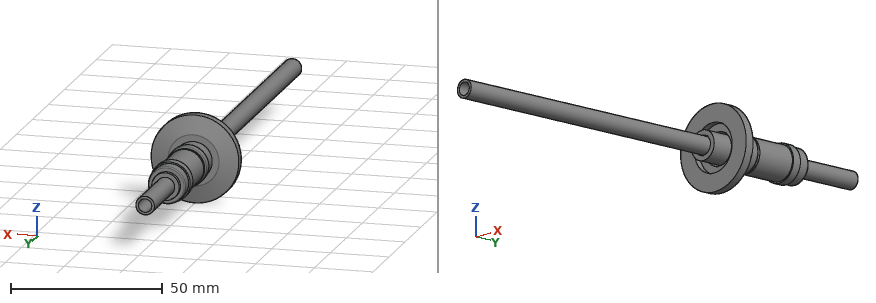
import cadquery as cq
import math

total_length = 184.15
tube_diameter = 6.35
tube_bore_diameter = 4.57

collar_start = 25.4
collar_diameter = 9.4

body_start = 26.95
body_diameter = 12.7
cup_edge_radius = 0.4

band_diameter = 13.7
rear_band_start = 31.3
rear_band_end = 34.6
front_band_start = 51.2
front_band_end = 54.6
band_rim_radius = 0.4
band_root_radius = 0.4

sleeve_start = 50.1
sleeve_diameter = 12.76

flange_diameter = 29.97
flange_face = 65.6
flange_rim_thickness = 3.3
flange_back_angle = 15.0
flange_back_diameter = 17.4

recess_diameter = 17.2
recess_depth = 2.5
sleeve_bore_diameter = 11.7
sleeve_bore_end = 50.0

stub_diameter = 10.4
stub_end = 70.6
stub_root_radius = 0.55
stub_counterbore_diameter = 6.9
stub_counterbore_depth = 1.0


def axial_y(station):
    """Y coordinate of a station."""
    return total_length / 2 - station


def cylinder(diameter, start, end):
    """Solid cylinder on the Y axis between two stations."""
    plane = cq.Workplane("XZ", origin=(0, axial_y(start), 0))
    return plane.circle(diameter / 2).extrude(end - start)


def revolve_about_axis(half_section):
    """Full turn of a closed XY section about the Y axis."""
    return half_section.revolve(360, (0, 0, 0), (0, 1, 0))


def make_front_band():
    """Band with a rounded rear rim and a concave fillet at the root of its front step."""
    sleeve_radius = sleeve_diameter / 2
    band_radius = band_diameter / 2
    round_end = front_band_start + band_rim_radius
    root_end = front_band_end + band_root_radius
    half_section = (
        cq.Workplane("XY")
        .moveTo(0, axial_y(root_end))
        .lineTo(0, axial_y(front_band_start))
        .lineTo(band_radius - band_rim_radius, axial_y(front_band_start))
        .radiusArc((band_radius, axial_y(round_end)), band_rim_radius)
        .lineTo(band_radius, axial_y(front_band_end))
        .lineTo(sleeve_radius + band_root_radius, axial_y(front_band_end))
        .radiusArc((sleeve_radius, axial_y(root_end)), -band_root_radius)
        .close()
    )
    return revolve_about_axis(half_section)


def make_flange():
    """Flange disc: straight rim, conical back and a flat step down to the sleeve."""
    rim_radius = flange_diameter / 2
    back_radius = flange_back_diameter / 2
    cone_length = (rim_radius - back_radius) * math.tan(math.radians(flange_back_angle))
    face_y = axial_y(flange_face)
    rim_back_y = face_y + flange_rim_thickness
    back_y = rim_back_y + cone_length
    half_section = (
        cq.Workplane("XY")
        .moveTo(0, face_y)
        .lineTo(rim_radius, face_y)
        .lineTo(rim_radius, rim_back_y)
        .lineTo(back_radius, back_y)
        .lineTo(0, back_y)
        .close()
    )
    return revolve_about_axis(half_section)


def make_housing():
    """Insulator body, joint bands and flange, hollowed from the flange face."""
    body = cylinder(body_diameter, body_start, flange_face)
    housing = body.faces(">Y").edges().fillet(cup_edge_radius)
    housing = housing.union(cylinder(sleeve_diameter, sleeve_start, flange_face))
    housing = housing.union(cylinder(band_diameter, rear_band_start, rear_band_end))
    housing = housing.union(make_front_band()).union(make_flange())
    housing = housing.cut(cylinder(recess_diameter, flange_face - recess_depth, flange_face))
    return housing.cut(cylinder(sleeve_bore_diameter, sleeve_bore_end, flange_face))


def make_stub():
    """Stub standing on the sleeve bore floor, with a concave fillet round its root."""
    stub_radius = stub_diameter / 2
    half_section = (
        cq.Workplane("XY")
        .moveTo(0, axial_y(sleeve_bore_end))
        .lineTo(stub_radius + stub_root_radius, axial_y(sleeve_bore_end))
        .radiusArc((stub_radius, axial_y(sleeve_bore_end + stub_root_radius)), -stub_root_radius)
        .lineTo(stub_radius, axial_y(stub_end))
        .lineTo(0, axial_y(stub_end))
        .close()
    )
    counterbore = cylinder(stub_counterbore_diameter, stub_end - stub_counterbore_depth, stub_end)
    return revolve_about_axis(half_section).cut(counterbore)


collar = cylinder(collar_diameter, collar_start, body_start)
tube = cylinder(tube_diameter, 0, total_length)
tube_bore = cylinder(tube_bore_diameter, 0, total_length)
result = make_housing().union(collar).union(make_stub()).union(tube).cut(tube_bore)